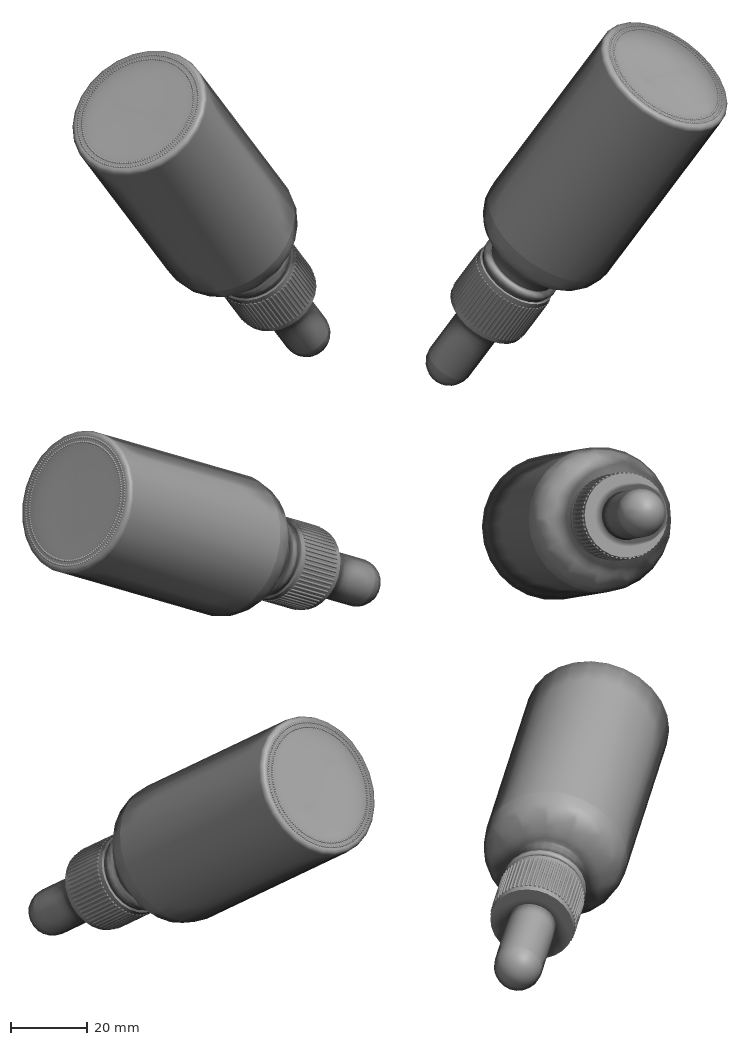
import cadquery as cq
import math

AXIS_DIRECTION = (-0.347, 0.5535, -0.757)

BOTTLE_DIAMETER = 38.1
BASE_FILLET = 1.2
NECK_DIAMETER = 19.1
NECK_FILLET = 1.2
SHOULDER_START = 60.1
BEAD_DIAMETER = 22.2
BEAD_SECTION_RADIUS = 1.2
BEAD_CENTRE = 75.8

DISH_DIAMETER = 30.9
DISH_DEPTH = 0.3

DOT_DIAMETER = 0.63
DOT_COUNT = 150
DOT_RING_RADII = (15.9, 17.1)

CAP_DIAMETER = 22.2
CAP_START = 77.8
CAP_LENGTH = 15.5
CAP_PLAIN_BAND = 1.6
CAP_BORE_DIAMETER = 20.8
CAP_END_WALL = 1.6
KNURL_DIAMETER = 0.63
KNURL_COUNT = 60

BULB_DIAMETER = 12.7
BULB_DOME_CENTRE = 112.6
BULB_FOOT_DIAMETER = 13.0
BULB_FOOT_HEIGHT = 0.5

bottle_radius = BOTTLE_DIAMETER / 2
neck_radius = NECK_DIAMETER / 2
cap_end = CAP_START + CAP_LENGTH
neck_end = cap_end - CAP_END_WALL


def make_bottle_body():
    """Revolved blank: rounded base, barrel, round shoulder, filleted neck with a bead."""
    fillet_inset = BASE_FILLET * (1 - math.sqrt(0.5))
    shoulder_radius = bottle_radius - neck_radius
    fillet_centre_distance = shoulder_radius + NECK_FILLET
    fillet_angle = math.acos(NECK_FILLET / fillet_centre_distance)
    neck_start = SHOULDER_START + fillet_centre_distance * math.sin(fillet_angle)

    bead_centre_offset = BEAD_DIAMETER / 2 - BEAD_SECTION_RADIUS - neck_radius
    bead_half_height = math.sqrt(BEAD_SECTION_RADIUS**2 - bead_centre_offset**2)

    def shoulder_point(angle):
        return (
            neck_radius + shoulder_radius * math.cos(angle),
            SHOULDER_START + shoulder_radius * math.sin(angle),
        )

    def neck_fillet_point(angle):
        return (
            neck_radius + NECK_FILLET * (1 - math.cos(angle)),
            neck_start - NECK_FILLET * math.sin(angle),
        )

    return (
        cq.Workplane("XZ")
        .lineTo(bottle_radius - BASE_FILLET, 0)
        .threePointArc((bottle_radius - fillet_inset, fillet_inset), (bottle_radius, BASE_FILLET))
        .lineTo(bottle_radius, SHOULDER_START)
        .threePointArc(shoulder_point(fillet_angle / 2), shoulder_point(fillet_angle))
        .threePointArc(neck_fillet_point(fillet_angle / 2), neck_fillet_point(0))
        .lineTo(neck_radius, BEAD_CENTRE - bead_half_height)
        .threePointArc(
            (BEAD_DIAMETER / 2, BEAD_CENTRE), (neck_radius, BEAD_CENTRE + bead_half_height)
        )
        .lineTo(neck_radius, neck_end)
        .lineTo(0, neck_end)
        .close()
        .revolve(360, (0, 0, 0), (0, 1, 0))
    )


def make_base_dish():
    """Large sphere, its poles far from the base, that dips into the bottle by the dish depth."""
    sphere_radius = ((DISH_DIAMETER / 2) ** 2 + DISH_DEPTH**2) / (2 * DISH_DEPTH)
    return (
        cq.Workplane("XZ", origin=(0, 0, DISH_DEPTH - sphere_radius))
        .sphere(sphere_radius)
    )


def make_dot_ring(ring_radius):
    dot = cq.Workplane("XY").sphere(DOT_DIAMETER / 2).val()
    return (
        cq.Workplane("XY")
        .polarArray(ring_radius, 0, 360, DOT_COUNT)
        .eachpoint(lambda place: dot.moved(place), combine=False)
    )


def make_bottle():
    bottle = make_bottle_body().cut(make_base_dish())
    for ring_radius in DOT_RING_RADII:
        ring = cq.Workplane(cq.Compound.makeCompound(make_dot_ring(ring_radius).vals()))
        bottle = bottle.union(ring)
    return bottle


def make_cap():
    cap = cq.Workplane("XY", origin=(0, 0, CAP_START)).circle(CAP_DIAMETER / 2).extrude(CAP_LENGTH)
    ridges = (
        cq.Workplane("XY", origin=(0, 0, CAP_START + CAP_PLAIN_BAND))
        .polarArray(CAP_DIAMETER / 2, 180 / KNURL_COUNT, 360, KNURL_COUNT)
        .circle(KNURL_DIAMETER / 2)
        .extrude(CAP_LENGTH - 2 * CAP_PLAIN_BAND)
    )
    bore = (
        cq.Workplane("XY", origin=(0, 0, CAP_START))
        .circle(CAP_BORE_DIAMETER / 2)
        .extrude(CAP_LENGTH - CAP_END_WALL)
    )
    return cap.union(ridges).cut(bore)


def make_bulb():
    bulb_radius = BULB_DIAMETER / 2
    dome_offset = bulb_radius * math.sqrt(0.5)
    return (
        cq.Workplane("XZ")
        .moveTo(0, cap_end)
        .lineTo(BULB_FOOT_DIAMETER / 2, cap_end)
        .lineTo(bulb_radius, cap_end + BULB_FOOT_HEIGHT)
        .lineTo(bulb_radius, BULB_DOME_CENTRE)
        .threePointArc(
            (dome_offset, BULB_DOME_CENTRE + dome_offset),
            (0, BULB_DOME_CENTRE + bulb_radius),
        )
        .close()
        .revolve(360, (0, 0, 0), (0, 1, 0))
    )


axis_x, axis_y, _ = AXIS_DIRECTION
tilt = cq.Location(cq.Plane(origin=(0, 0, 0), xDir=(axis_y, -axis_x, 0), normal=AXIS_DIRECTION))
bottle = make_bottle()
cap = make_cap()
bulb = make_bulb()
result = cq.Compound.makeCompound([body.val().moved(tilt) for body in (bottle, cap, bulb)])